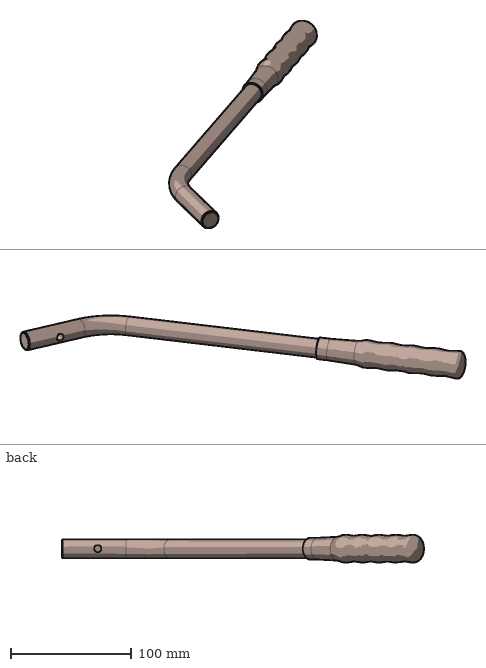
import cadquery as cq
import math

rod_radius = 7.98
handle_angle = 45.0
bend_radius = 52.0
short_leg = 53.3
long_leg = 165.0
end_chamfer = 1.0
detent_radius = 3.0
detent_from_end = 29.8

grip_length = 126.0
collar_length = 9.0
collar_radius = 9.2
taper_end = 32.8
taper_end_radius = 10.1
wave_count = 5
wave_pitch = 20.0
crest_radius = 11.7
valley_radius = 10.8
dome_height = 5.5
tail_wall = 10.0

bore_depth = grip_length - tail_wall
last_crest = grip_length - dome_height

angle = math.radians(handle_angle)
bend_end = (-bend_radius * math.sin(angle), bend_radius * (1 - math.cos(angle)))
bend_middle = (-bend_radius * math.sin(angle / 2), bend_radius * (1 - math.cos(angle / 2)))


def along_long_leg(distance):
    """Point on the long leg's axis at a distance from the end of the bend."""
    return (bend_end[0] - distance * math.cos(angle), bend_end[1] + distance * math.sin(angle))


def make_rod():
    path = (
        cq.Workplane("XY")
        .moveTo(short_leg, 0)
        .lineTo(0, 0)
        .threePointArc(bend_middle, bend_end)
        .lineTo(*along_long_leg(long_leg + bore_depth))
    )
    rod = cq.Workplane("YZ", origin=(short_leg, 0, 0)).circle(rod_radius).sweep(path)
    rod = rod.faces(">X").edges().chamfer(end_chamfer)
    return rod.cut(make_detent())


def make_detent():
    """Cutter for the detent hole, from the rod axis out through the +Y side."""
    detent_plane = cq.Workplane("XZ", origin=(short_leg - detent_from_end, 0, 0))
    return detent_plane.circle(detent_radius).extrude(-2 * rod_radius)


def wave_points():
    """Crests and valleys of the finger waves, from the first crest to the last."""
    first_crest = last_crest - (wave_count - 1) * wave_pitch
    points = [(first_crest, crest_radius)]
    for i in range(wave_count - 1):
        crest = first_crest + i * wave_pitch
        points.append((crest + wave_pitch / 2, valley_radius))
        points.append((crest + wave_pitch, crest_radius))
    return points


def make_grip():
    mouth = along_long_leg(long_leg)
    grip_plane = cq.Plane(
        origin=(mouth[0], mouth[1], 0),
        xDir=(-math.cos(angle), math.sin(angle), 0),
        normal=(0, 0, 1),
    )
    waves = wave_points()
    taper_slope = (taper_end_radius - collar_radius) / (taper_end - collar_length)
    level = [(1, 0)] * len(waves)
    profile = (
        cq.Workplane(grip_plane)
        .moveTo(0, rod_radius)
        .lineTo(0, collar_radius)
        .lineTo(collar_length, collar_radius)
        .lineTo(taper_end, taper_end_radius)
        .spline(
            [*waves, (grip_length, 0)],
            tangents=[(1, taper_slope), *level, (0, -1)],
            includeCurrent=True,
        )
        .lineTo(bore_depth, 0)
        .lineTo(bore_depth, rod_radius)
        .close()
    )
    return profile.revolve(360, (0, 0, 0), (1, 0, 0))


rod = make_rod()
grip = make_grip()
result = cq.Compound.makeCompound([rod.val(), grip.val()])